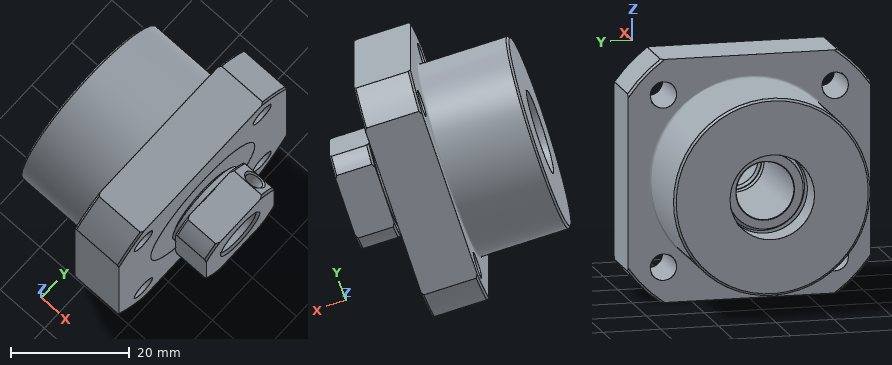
import cadquery as cq


flange_side = 42.0
flange_corner_radius = 26.0
flange_front = 16.0
flange_thickness = 10.0
flange_chamfer_front = 0.38
flange_chamfer_back = 0.35
barrel_radius = 17.0
barrel_chamfer = 0.38
barrel_root_fillet = 0.35
housing_bore_radius = 7.3
housing_lip = 5.0
mount_hole_diameter = 4.55
mount_hole_offset = 14.85

shaft_bore_radius = 5.0
bearing_radius = 13.0
bearing_bore_chamfer = 0.1
inner_ring_face_radius = 6.6
inner_ring_root_radius = 7.2
outer_ring_inner_radius = 10.5
recess_depth_inner = 1.5
recess_depth_outer = 1.25

collar_radius = 6.97
collar_rim_radius = 8.02
collar_rim_gap = 0.4
collar_rim_thickness = 1.1

nut_side = 16.95
nut_corner_radius = 10.25
nut_thickness = 6.97
nut_chamfer = 0.38
nut_bore_radius = 4.45
nut_bore_chamfer = 0.45
screw_hole_radius = 1.65
screw_hole_countersink = 0.38
screw_hole_station = 3.8
screw_hole_angle = 45.0

flange_back = flange_front + flange_thickness
rim_start = flange_back + collar_rim_gap
nut_start = rim_start + collar_rim_thickness
nut_end = nut_start + nut_thickness


def disc(start, end, radius):
    """Solid cylinder about the X axis between two X stations."""
    return cq.Workplane("YZ", origin=(start, 0, 0)).circle(radius).extrude(end - start)


def turned_square(start, end, side, corner_radius, front_chamfer, back_chamfer):
    """Square plate whose corners are turned to a radius and chamfered on both faces."""
    plate = cq.Workplane("YZ", origin=(start, 0, 0)).rect(side, side).extrude(end - start)
    blank = disc(start, end, corner_radius)
    blank = blank.faces("<X").chamfer(front_chamfer)
    blank = blank.faces(">X").chamfer(back_chamfer)
    return plate.intersect(blank)


def make_housing():
    flange = turned_square(
        flange_front, flange_back, flange_side, flange_corner_radius,
        flange_chamfer_front, flange_chamfer_back,
    )
    barrel = disc(0, flange_front, barrel_radius).faces("<X").chamfer(barrel_chamfer)
    body = flange.union(barrel)
    root_point = (flange_front, 0, barrel_radius)
    root_edge = cq.selectors.NearestToPointSelector(root_point)
    body = body.edges("%CIRCLE").edges(root_edge).fillet(barrel_root_fillet)

    mount_holes = (
        cq.Workplane("YZ", origin=(flange_front, 0, 0))
        .rect(2 * mount_hole_offset, 2 * mount_hole_offset, forConstruction=True)
        .vertices()
        .circle(mount_hole_diameter / 2)
        .extrude(flange_thickness)
    )
    lip_bore = disc(0, housing_lip, housing_bore_radius)
    pocket = disc(housing_lip, flange_back, bearing_radius)
    return body.cut(lip_bore).cut(pocket).cut(mount_holes)


def make_bearing():
    """Bearing turned about X, with a tapered inner ring standing in the front recess."""
    section = [
        (housing_lip + bearing_bore_chamfer, shaft_bore_radius),
        (housing_lip, shaft_bore_radius + bearing_bore_chamfer),
        (housing_lip, inner_ring_face_radius),
        (housing_lip + recess_depth_inner, inner_ring_root_radius),
        (housing_lip + recess_depth_outer, outer_ring_inner_radius),
        (housing_lip, outer_ring_inner_radius),
        (housing_lip, bearing_radius),
        (flange_back, bearing_radius),
        (flange_back, shaft_bore_radius),
    ]
    return cq.Workplane("XY").polyline(section).close().revolve(360, (0, 0, 0), (1, 0, 0))


def make_rear_collar():
    sleeve = disc(flange_back, nut_start, collar_radius)
    rim = disc(rim_start, nut_start, collar_rim_radius)
    return sleeve.union(rim).cut(disc(flange_back, nut_start, shaft_bore_radius))


def make_screw_hole():
    """Tool for a countersunk radial hole through the +Y +Z corner, ending in the nut bore."""
    mouth = nut_corner_radius
    tool_end = mouth + screw_hole_countersink
    mouth_radius = screw_hole_radius + screw_hole_countersink
    tool = (
        cq.Workplane("XZ")
        .moveTo(0, 0)
        .lineTo(screw_hole_radius, 0)
        .lineTo(screw_hole_radius, mouth - screw_hole_countersink)
        .lineTo(mouth_radius, mouth)
        .lineTo(mouth_radius, tool_end)
        .lineTo(0, tool_end)
        .close()
        .revolve(360, (0, 0, 0), (0, 1, 0))
    )
    tool = tool.rotate((0, 0, 0), (1, 0, 0), -screw_hole_angle)
    return tool.translate((nut_start + screw_hole_station, 0, 0))


def make_nut():
    nut = turned_square(
        nut_start, nut_end, nut_side, nut_corner_radius, nut_chamfer, nut_chamfer
    )
    nut = nut.cut(disc(nut_start, nut_end, nut_bore_radius))
    bore_edges = nut.edges("%CIRCLE").edges(cq.selectors.RadiusNthSelector(0))
    nut = bore_edges.chamfer(nut_bore_chamfer)
    return nut.cut(make_screw_hole())


housing = make_housing()
bearing = make_bearing()
rear_collar = make_rear_collar()
nut = make_nut()

result = cq.Compound.makeCompound(
    [housing.val(), bearing.val(), rear_collar.val(), nut.val()]
)